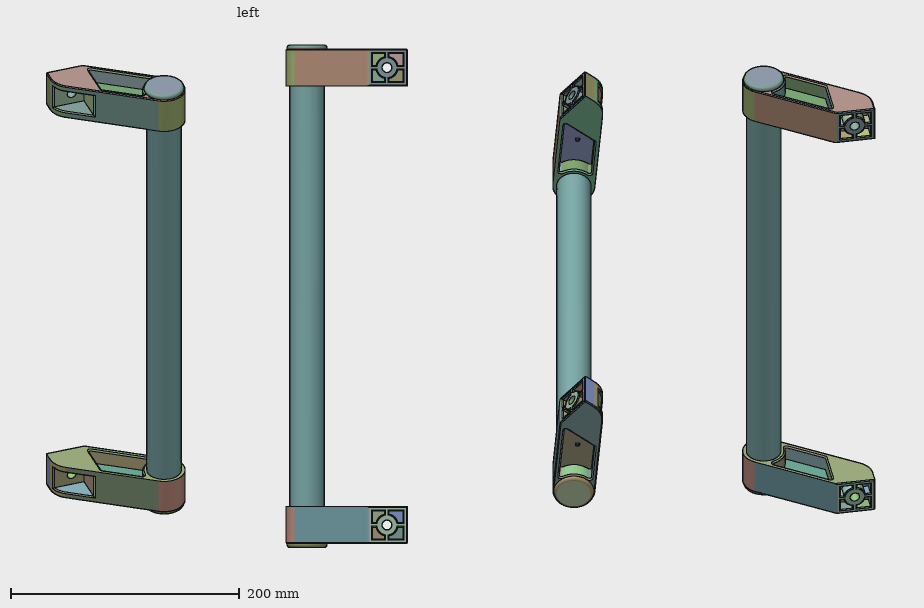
import cadquery as cq
import math

overall_length = 439.0
cap_height = 3.5
cap_diameter = 35.0
cap_edge_radius = 2.5
tube_diameter = 30.5

end_radius = 18.5
mount_x = -60.0
foot_y = -88.0
arm_angle = math.radians(55)
foot_radius = 19.8
bracket_height = 32.5
rim_chamfer = 1.0

web_thickness = 5.3
arm_wall = 4.5
socket_radius = 19.0
shoulder_distance = 15.0
pocket_y = foot_y + 36.5
pocket_corner_radius = 1.5
pocket_chamfer = 1.5
dimple_diameter = 4.0
dimple_depth = 1.8
dimple_x = -24.5
dimple_y = -34.5

mount_depth = 11.5
mount_wall = 4.0
mount_width = 34.5
mount_chamfer = 1.0
screw_y = foot_y + 18.0
screw_diameter = 8.5
boss_diameter = 19.5
rib_thickness = 4.0
access_x = mount_x + 16.2
access_top_y = foot_y + 29.5
access_height = 20.5
access_chamfer = 1.1

tolerance = 0.0005

bracket_top = overall_length / 2 - cap_height
bracket_bottom = bracket_top - bracket_height
bracket_mid = (bracket_top + bracket_bottom) / 2
web_top = bracket_mid + web_thickness / 2
pocket_depth = (bracket_height - web_thickness) / 2
cos_arm = math.cos(arm_angle)
sin_arm = math.sin(arm_angle)


def arm_side_y(offset, x):
    """Y at a given X on the line along the arm, offset from its centre line toward -X, +Y."""
    return x * sin_arm / cos_arm + offset / cos_arm


def arm_side_x(offset, y):
    """X at a given Y on the same line."""
    return (y * cos_arm - offset) / sin_arm


def tangent_point(offset):
    """Foot of the perpendicular from the tube axis to the line along the arm."""
    return (-offset * sin_arm, offset * cos_arm)


def make_bracket_blank():
    foot_corner_x = arm_side_x(-end_radius, foot_y)
    blank = (
        cq.Workplane("XY", origin=(0, 0, bracket_bottom))
        .moveTo(mount_x, foot_y)
        .lineTo(foot_corner_x, foot_y)
        .lineTo(*tangent_point(-end_radius))
        .threePointArc((end_radius * cos_arm, end_radius * sin_arm), tangent_point(end_radius))
        .lineTo(mount_x, arm_side_y(end_radius, mount_x))
        .close()
        .extrude(bracket_height)
    )
    foot_edge = cq.selectors.NearestToPointSelector((foot_corner_x, foot_y, bracket_mid))
    blank = blank.edges(foot_edge).fillet(foot_radius)
    return blank.faces(">Z or <X").edges().chamfer(rim_chamfer)


def make_arm_pocket():
    """Cap-side pocket between the foot and the round tube socket."""
    half_width = end_radius - arm_wall
    shoulder_x = shoulder_distance * cos_arm
    shoulder_y = shoulder_distance * sin_arm
    side_x, side_y = tangent_point(half_width)
    floor_plane = cq.Workplane("XY", origin=(0, 0, web_top))
    pocket = (
        floor_plane
        .moveTo(arm_side_x(half_width, pocket_y), pocket_y)
        .lineTo(arm_side_x(-half_width, pocket_y), pocket_y)
        .lineTo(-side_x - shoulder_x, -side_y - shoulder_y)
        .lineTo(side_x - shoulder_x, side_y - shoulder_y)
        .close()
        .extrude(pocket_depth)
    )
    socket = floor_plane.circle(socket_radius).extrude(pocket_depth)
    return pocket.cut(socket).edges("|Z").fillet(pocket_corner_radius)


def make_mount_recess():
    """Recess in the mounting face, leaving a screw boss and four ribs."""
    floor_height = bracket_height - 2 * mount_wall
    floor_width = mount_width - 2 * mount_wall
    middle_y = foot_y + mount_width / 2

    def block(middle, width, height):
        return (
            cq.Workplane("YZ", origin=(mount_x, middle, bracket_mid))
            .rect(width, height)
            .extrude(mount_depth)
        )

    boss = (
        cq.Workplane("YZ", origin=(mount_x, screw_y, bracket_mid))
        .circle(boss_diameter / 2)
        .extrude(mount_depth)
    )
    level_rib = block(middle_y, floor_width, rib_thickness)
    upright_rib = block(screw_y, rib_thickness, floor_height)
    return block(middle_y, floor_width, floor_height).cut(boss).cut(level_rib).cut(upright_rib)


def make_screw_access():
    """Opening for the screw head, through the rounded side of the foot."""
    length = -access_x
    return (
        cq.Workplane("XZ", origin=(access_x + length / 2, access_top_y, bracket_mid))
        .rect(length, access_height)
        .extrude(access_top_y - foot_y)
    )


def lies_on(edge, surface):
    """True if the start, middle and end of the edge are all on the surface."""
    points = [edge.positionAt(fraction) for fraction in (0, 0.5, 1)]
    return all(surface.distance(cq.Vertex.makeVertex(*point.toTuple())) < tolerance for point in points)


def cut_chamfered(body, cutter, chamfer):
    """Cut a recess into the body and chamfer the edges where it opens on the body's surface."""
    body_surface = cq.Compound.makeCompound(body.shells().vals())
    recess_surface = cq.Compound.makeCompound(cutter.shells().vals())
    cut_body = body.cut(cutter)
    rim = [
        edge for edge in cut_body.edges().vals()
        if lies_on(edge, body_surface) and lies_on(edge, recess_surface)
    ]
    return cut_body.newObject(rim).chamfer(chamfer)


def make_bracket():
    screw_hole = (
        cq.Workplane("YZ", origin=(mount_x, screw_y, bracket_mid))
        .circle(screw_diameter / 2)
        .extrude(access_x - mount_x)
    )
    dimple = (
        cq.Workplane("XY", origin=(dimple_x, dimple_y, web_top))
        .circle(dimple_diameter / 2)
        .extrude(-dimple_depth)
    )
    pocket = make_arm_pocket()
    bracket = make_bracket_blank()
    bracket = cut_chamfered(bracket, make_screw_access(), access_chamfer)
    bracket = cut_chamfered(bracket, make_mount_recess(), mount_chamfer)
    bracket = cut_chamfered(bracket, pocket, pocket_chamfer)
    bracket = cut_chamfered(bracket, pocket.mirror("XY", (0, 0, bracket_mid)), pocket_chamfer)
    bracket = bracket.cut(screw_hole).cut(dimple).cut(dimple.mirror("XY", (0, 0, bracket_mid)))
    tube_bore = (
        cq.Workplane("XY", origin=(0, 0, bracket_bottom))
        .circle(tube_diameter / 2)
        .extrude(bracket_height)
    )
    return bracket.cut(tube_bore)


def make_cap():
    cap = cq.Workplane("XY", origin=(0, 0, bracket_top)).circle(cap_diameter / 2).extrude(cap_height)
    return cap.faces(">Z").edges().fillet(cap_edge_radius)


def make_tube():
    return (
        cq.Workplane("XY", origin=(0, 0, -bracket_top))
        .circle(tube_diameter / 2)
        .extrude(2 * bracket_top)
    )


def both_ends(upper_body):
    """The solid at the upper end and its mirror image at the lower end."""
    upper = upper_body.solids()
    return [upper.val(), upper.val().mirror("XY")]


tube = make_tube()
brackets = both_ends(make_bracket())
caps = both_ends(make_cap())

result = cq.Compound.makeCompound([tube.val(), *brackets, *caps])